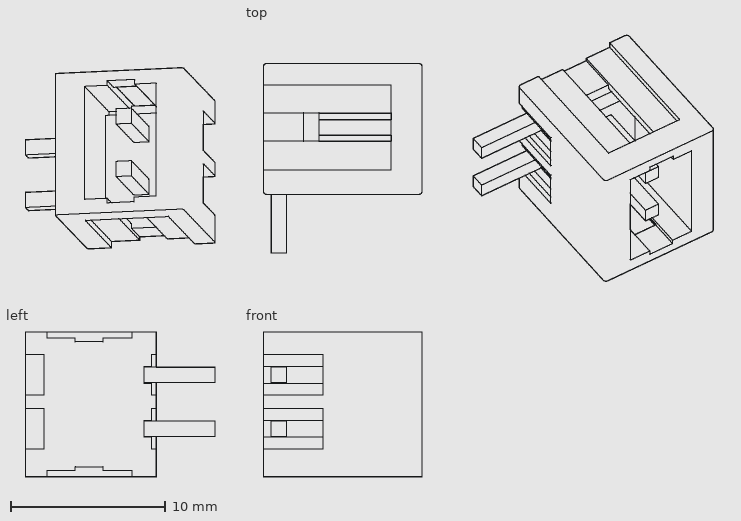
import cadquery as cq

length = 10.3
overall_depth = 12.3
height = 9.4
pin_reach = 3.8
depth = overall_depth - pin_reach
corner_radius = 0.22

cavity_floor_x = 3.62
cavity_y = (1.97, 6.72)
cavity_wall = 0.95
ledge_x = 2.62
ledge_level = 1.4

recess_end_x = 8.28
recess_y = (1.6, 7.11)
recess_depth = 0.42
slot_y = (3.47, 5.29)
slot_depth = 0.64
bottom_window_rear_y = 5.24
bottom_window_y = (slot_y[0], bottom_window_rear_y)

pin_size = 1.01
pin_left_x = 0.5
pin_tip_x = 9.22
pin_leg_center_y = 4.34
pin_pitch = 3.49
upper_pin_z = 6.6
pin_levels = (upper_pin_z, upper_pin_z - pin_pitch)

notch_length = 3.87
notch_height = 2.61
front_notch_depth = 0.32
rear_notch_depth = 1.2
pin_groove_height = 1.1
pin_groove_depth = 0.82


def block(x, y, z):
    """Box spanning the given (low, high) ranges."""
    size = [high - low for low, high in (x, y, z)]
    return cq.Workplane("XY").box(*size, centered=False).translate((x[0], y[0], z[0]))


def centered_range(center, size):
    return (center - size / 2, center + size / 2)


def make_body():
    body = block((0, length), (0, depth), (0, height))
    return body.edges("|Z").fillet(corner_radius)


def make_cavity():
    """Main cavity, with a shallower floor between two ledges and a key groove in each wall."""
    full_height = (cavity_wall, height - cavity_wall)
    cavity = block((cavity_floor_x, length), cavity_y, full_height)
    for z in ((cavity_wall, ledge_level), (height - ledge_level, height - cavity_wall)):
        cavity = cavity.union(block((ledge_x, length), cavity_y, z))
    top_groove = block((ledge_x, length), slot_y, (height - ledge_level, height - slot_depth))
    bottom_groove = block((ledge_x, length), bottom_window_y, (slot_depth, ledge_level))
    return cavity.union(top_groove).union(bottom_groove)


def make_recess(outer_z, direction, window_y):
    """Wide recess and deeper slot cut from one face, opening into the cavity."""
    def levels(cut_depth):
        return sorted((outer_z, outer_z + direction * cut_depth))

    wide = block((0, recess_end_x), recess_y, levels(recess_depth))
    slot = block((0, recess_end_x), slot_y, levels(slot_depth))
    window = block((ledge_x, recess_end_x), window_y, levels(ledge_level))
    return wide.union(slot).union(window)


def make_notches(z):
    notch_z = centered_range(z, notch_height)
    groove_z = centered_range(z, pin_groove_height)
    front = block((0, notch_length), (0, front_notch_depth), notch_z)
    groove = block((0, notch_length), (0, pin_groove_depth), groove_z)
    rear = block((0, notch_length), (depth - rear_notch_depth, depth), notch_z)
    return front.union(groove).union(rear)


def make_pin(z):
    """L-shaped pin: one leg leaves along -Y, the other reaches into the cavity."""
    pin_z = centered_range(z, pin_size)
    leg_y = centered_range(pin_leg_center_y, pin_size)
    tail = block((pin_left_x, pin_left_x + pin_size), (-pin_reach, leg_y[1]), pin_z)
    contact = block((pin_left_x, pin_tip_x), leg_y, pin_z)
    return tail.union(contact)


result = make_body().cut(make_cavity())
result = result.cut(make_recess(height, -1, slot_y))
result = result.cut(make_recess(0, 1, bottom_window_y))
for level in pin_levels:
    result = result.cut(make_notches(level))
for level in pin_levels:
    result = result.union(make_pin(level))